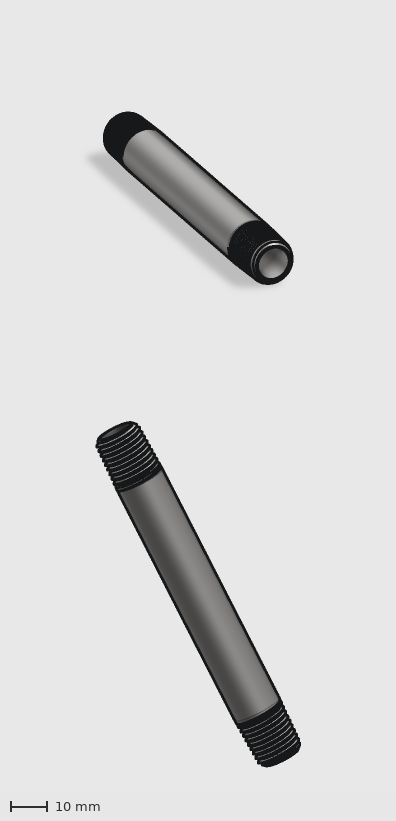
import cadquery as cq
import math

INCH = 25.4

length = 4.0 * INCH
outer_radius = 0.540 * INCH / 2
bore_radius = 0.364 * INCH / 2
half_length = length / 2

threaded_length = 15.1
cone_slope = 1 / 32
cone_end_radius = outer_radius - threaded_length * cone_slope

nose_radius = 5.1
nose_chamfer = cone_end_radius - nose_radius

pitch = INCH / 18
thread_depth = 1.1
half_vee_angle = math.radians(30.0)
groove_overshoot = 0.07
groove_height = thread_depth + groove_overshoot
groove_half_width = groove_height * math.tan(half_vee_angle)

lead_in = 0.22
full_turns = 9
runout_turns = 1.75
runout_length = runout_turns * pitch
runout_slope = thread_depth / runout_length
start_x = -half_length - lead_in
start_root_radius = cone_end_radius - thread_depth - lead_in * cone_slope


def make_body():
    """Tube with a shallow cone and a chamfered nose at each end."""
    cone_start = half_length - threaded_length
    nose_start = half_length - nose_chamfer
    nose_start_radius = cone_end_radius + nose_chamfer * cone_slope
    outline = (
        cq.Workplane("XY")
        .moveTo(-half_length, bore_radius)
        .lineTo(-half_length, nose_radius)
        .lineTo(-nose_start, nose_start_radius)
        .lineTo(-cone_start, outer_radius)
        .lineTo(cone_start, outer_radius)
        .lineTo(nose_start, nose_start_radius)
        .lineTo(half_length, nose_radius)
        .lineTo(half_length, bore_radius)
        .close()
    )
    return outline.revolve(360, (0, 0, 0), (1, 0, 0))


def make_helix(x, turns, radius, slope):
    """Right-hand helix around X that starts at x, below the axis, and widens by slope along +X."""
    slope_angle = math.atan(slope)
    slant_pitch = pitch / math.cos(slope_angle)
    helix = cq.Wire.makeHelix(slant_pitch, turns * slant_pitch, radius, angle=math.degrees(slope_angle))
    along_x = helix.rotate(cq.Vector(0, 0, 0), cq.Vector(0, 1, 0), 90)
    return along_x.translate(cq.Vector(x, 0, 0)).Edges()[0]


def make_vee_edges(x, turns, root_radius, slope):
    """Helices along the root and the two open edges of a stretch of the groove."""
    crest_radius = root_radius + groove_height
    return [
        make_helix(x, turns, root_radius, slope),
        make_helix(x + groove_half_width, turns, crest_radius, slope),
        make_helix(x - groove_half_width, turns, crest_radius, slope),
    ]


def make_end_cap(edges, parameter):
    """Triangle that closes the groove cutter where its three edges start (0) or end (1)."""
    corners = [edge.positionAt(parameter) for edge in edges]
    return cq.Face.makeFromWires(cq.Wire.makePolygon(corners, close=True))


def make_thread_cutter():
    """Solid that fills the whole groove at the -X end, with faces no longer than one turn."""
    stretches = [(1, cone_slope)] * full_turns + [(1, runout_slope), (runout_turns - 1, runout_slope)]
    x = start_x
    root_radius = start_root_radius
    vees = []
    for turns, slope in stretches:
        vees.append(make_vee_edges(x, turns, root_radius, slope))
        x += turns * pitch
        root_radius += turns * pitch * slope

    faces = [make_end_cap(vees[0], 0), make_end_cap(vees[-1], 1)]
    for root, inner, outer in vees:
        for first, second in ((root, inner), (inner, outer), (outer, root)):
            faces.append(cq.Face.makeRuledSurface(first, second))
    return cq.Workplane(cq.Solid.makeSolid(cq.Shell.makeShell(faces)))


result = make_body()
thread_cutter = make_thread_cutter()
for end_turn in (0, 180):
    result = result.cut(thread_cutter.rotate((0, 0, 0), (0, 1, 0), end_turn))